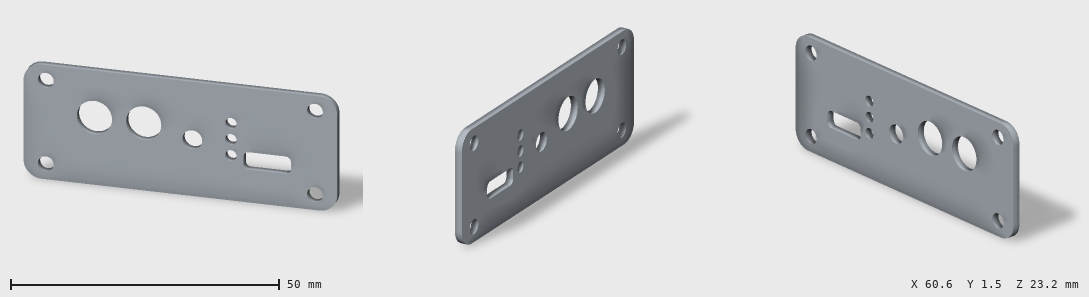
import cadquery as cq

length = 60.6
height = 23.2
thickness = 1.5
corner_radius = 3.45

mount_diameter = 3.0
mount_spacing_x = 52.0
mount_spacing_z = 16.95

large_diameter = 6.8
large_first_x = -16.6
large_pitch = 9.5
large_z = 2.05

medium_diameter = 3.8
medium_x = 2.3
medium_z = -0.2

small_diameter = 2.2
small_count = 3
small_x = 9.75
small_middle_z = 0.8
small_pitch = 3.3

window_length = 9.15
window_height = 3.5
window_radius = 1.0
window_x = 16.8
window_z = -3.15


def through_block(size_x, size_z, radius, center_x=0, center_z=0):
    """Block through the plate thickness, with its four Y-direction edges rounded."""
    block = cq.Workplane("XY").box(size_x, thickness, size_z).edges("|Y").fillet(radius)
    return block.translate((center_x, 0, center_z))


def through_holes(centers, diameter):
    """Cylinders through the plate thickness at the given (x, z) centres."""
    sketch = cq.Workplane("XZ").pushPoints(centers)
    return sketch.circle(diameter / 2).extrude(thickness / 2, both=True)


mount_centers = [
    (side_x * mount_spacing_x / 2, side_z * mount_spacing_z / 2)
    for side_x in (-1, 1)
    for side_z in (-1, 1)
]
large_centers = [(large_first_x, large_z), (large_first_x + large_pitch, large_z)]
small_centers = [
    (small_x, small_middle_z + (index - (small_count - 1) / 2) * small_pitch)
    for index in range(small_count)
]

plate = through_block(length, height, corner_radius)
plate = plate.cut(through_holes(mount_centers, mount_diameter))
plate = plate.cut(through_holes(large_centers, large_diameter))
plate = plate.cut(through_holes([(medium_x, medium_z)], medium_diameter))
plate = plate.cut(through_holes(small_centers, small_diameter))
result = plate.cut(
    through_block(window_length, window_height, window_radius, window_x, window_z)
)